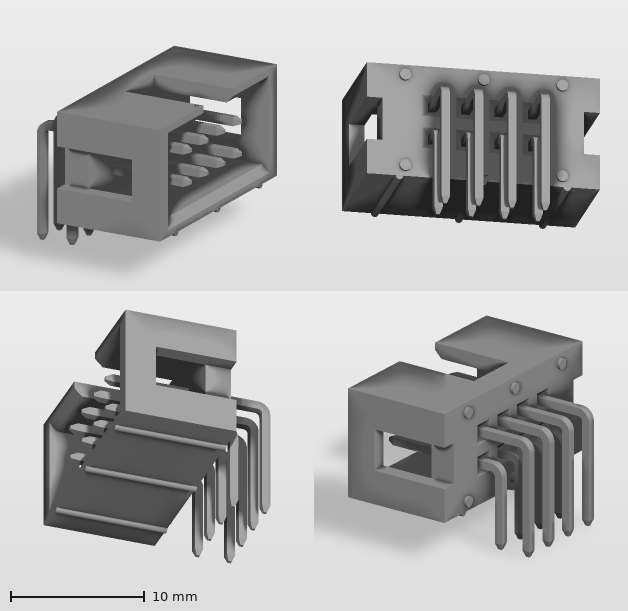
import cadquery as cq

housing_depth = 8.84
housing_width = 17.82
housing_height = 8.79
mid_height = housing_height / 2

rear_wall = 2.03
long_wall = 1.18
end_wall = 1.21
lead_in = 0.6

key_width = 4.53
side_slot_reach = 6.43
side_slot_height = 3.33

pitch = 2.55
pins_per_row = 4
pin_size = 0.65
bend_radius = 1.0
pin_tip_length = 0.52
pin_tip_size = 0.27
pin_front = 8.62
rear_overhang = 4.42
overall_height = 12.2
outer_tail_x = pin_size / 2 - rear_overhang
tail_bottom = housing_height - overall_height

funnel_size = 1.64
funnel_depth = 0.5

stud_diameter = 0.85
stud_height = 0.25
stud_columns = 3
stud_rows = 2
stud_spacing_y = 6.0
stud_spacing_z = 7.16

rib_radius = 0.29
rib_count = 3
rib_spacing = 6.42

pin_ys = [(i - (pins_per_row - 1) / 2) * pitch for i in range(pins_per_row)]
pin_rows = [
    (mid_height + pitch / 2, outer_tail_x),
    (mid_height - pitch / 2, outer_tail_x + pitch),
]


def block(x_range, width, z_range):
    """Box centred on Y = 0 between the given X and Z limits."""
    size_x = x_range[1] - x_range[0]
    size_z = z_range[1] - z_range[0]
    box = cq.Workplane("XY").box(size_x, width, size_z, centered=(False, True, False))
    return box.translate((x_range[0], 0, z_range[0]))


def make_cavity():
    """Mating cavity, widened by chamfered lead-ins along its two long edges."""
    floor = long_wall
    ceiling = housing_height - long_wall
    return (
        cq.Workplane("XZ", origin=(0, housing_width / 2 - end_wall, 0))
        .moveTo(rear_wall, floor)
        .lineTo(housing_depth - lead_in, floor)
        .lineTo(housing_depth, floor - lead_in)
        .lineTo(housing_depth, ceiling + lead_in)
        .lineTo(housing_depth - lead_in, ceiling)
        .lineTo(rear_wall, ceiling)
        .close()
        .extrude(housing_width - 2 * end_wall)
    )


def make_housing():
    """Shrouded housing with a key slot in the top and a side slot in each end wall."""
    housing = block((0, housing_depth), housing_width, (0, housing_height))
    housing = housing.cut(make_cavity())
    key_slot = block((rear_wall, housing_depth), key_width, (mid_height, housing_height))
    housing = housing.cut(key_slot)
    slot_z = (mid_height - side_slot_height / 2, mid_height + side_slot_height / 2)
    for side in (-1, 1):
        side_slot = block((0, side_slot_reach), end_wall, slot_z)
        housing = housing.cut(side_slot.translate((0, side * (housing_width - end_wall) / 2, 0)))
    return housing


def make_funnel(y, z):
    """Pyramid-shaped recess narrowing from the rear face to the pin."""
    return (
        cq.Workplane("YZ", origin=(0, y, z))
        .rect(funnel_size, funnel_size)
        .workplane(offset=funnel_depth)
        .rect(pin_size, pin_size)
        .loft(ruled=True)
    )


def make_tip(plane):
    """Tapered pin end that grows along the normal of the given plane."""
    return (
        cq.Workplane(plane)
        .rect(pin_size, pin_size)
        .workplane(offset=pin_tip_length)
        .rect(pin_tip_size, pin_tip_size)
        .loft(ruled=True)
    )


def make_pin(y, z, tail_x):
    """Right-angle pin running back from the cavity and bent down into its tail."""
    half = pin_size / 2
    back = tail_x - half
    top = z + half
    inner_radius = bend_radius - pin_size
    shank_front = pin_front - pin_tip_length
    shank_bottom = tail_bottom + pin_tip_length
    shank = (
        cq.Workplane("XZ", origin=(0, y + half, 0))
        .moveTo(shank_front, top)
        .lineTo(back + bend_radius, top)
        .radiusArc((back, top - bend_radius), -bend_radius)
        .lineTo(back, shank_bottom)
        .lineTo(back + pin_size, shank_bottom)
        .lineTo(back + pin_size, top - bend_radius)
        .radiusArc((back + bend_radius, top - pin_size), inner_radius)
        .lineTo(shank_front, top - pin_size)
        .close()
        .extrude(pin_size)
    )
    front_tip = make_tip(cq.Plane((shank_front, y, z), xDir=(0, 1, 0), normal=(1, 0, 0)))
    tail_tip = make_tip(cq.Plane((tail_x, y, shank_bottom), xDir=(1, 0, 0), normal=(0, 0, -1)))
    return shank.union(front_tip).union(tail_tip)


def make_studs():
    """Round standoffs on the rear face."""
    return (
        cq.Workplane("YZ", origin=(-stud_height, 0, mid_height))
        .rarray(stud_spacing_y, stud_spacing_z, stud_columns, stud_rows)
        .circle(stud_diameter / 2)
        .extrude(stud_height)
    )


def make_ribs():
    """Half-round ribs along X; their upper halves lie inside the bottom wall."""
    return (
        cq.Workplane("YZ")
        .rarray(rib_spacing, 0.18, rib_count, 1)
        .circle(rib_radius)
        .extrude(housing_depth)
    )


result = make_housing().union(make_studs()).union(make_ribs())
for row_z, row_tail_x in pin_rows:
    for pin_y in pin_ys:
        result = result.cut(make_funnel(pin_y, row_z))
        result = result.union(make_pin(pin_y, row_z, row_tail_x))